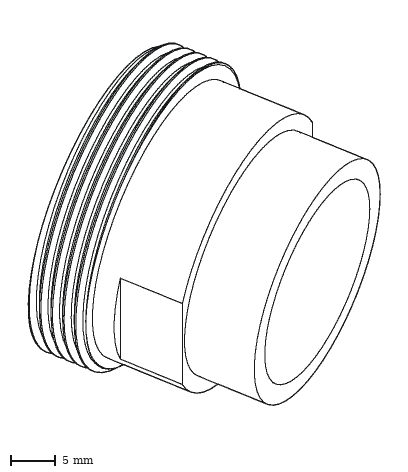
import cadquery as cq
import math

thread_length = 7.2
flat_start = 10.0
shoulder_x = 18.0
total_length = 27.0

thread_diameter = 38.0
collar_diameter = 34.0
spigot_diameter = 30.0
bore_diameter = 25.0
across_flats = 31.0

thread_pitch = 1.5
half_angle = math.radians(30.0)
crest_width = thread_pitch / 8
root_width = thread_pitch / 4
thread_depth = (thread_pitch - crest_width - root_width) / (2 * math.tan(half_angle))
groove_phase = -0.325
cutter_overlap = 0.05

blank_allowance = 4 * thread_pitch


def cylinder(diameter, start, end):
    """Solid cylinder on the X axis between two stations."""
    return cq.Workplane("YZ", origin=(start, 0, 0)).circle(diameter / 2).extrude(end - start)


def thread_groove():
    """Helical V groove, running past both ends of the thread."""
    crest_radius = thread_diameter / 2
    root_radius = crest_radius - thread_depth
    outer_radius = crest_radius + cutter_overlap
    half_root = root_width / 2
    half_mouth = half_root + (outer_radius - root_radius) * math.tan(half_angle)
    start = groove_phase - thread_pitch
    turns = math.ceil((thread_length - start + half_mouth) / thread_pitch)

    helix = cq.Wire.makeHelix(thread_pitch, turns * thread_pitch, root_radius)
    profile = cq.Workplane("XZ").polyline([
        (root_radius, -half_root),
        (outer_radius, -half_mouth),
        (outer_radius, half_mouth),
        (root_radius, half_root),
    ]).close()
    groove = profile.sweep(cq.Workplane(obj=helix), isFrenet=True)
    return groove.rotate((0, 0, 0), (0, 1, 0), 90).translate((start, 0, 0))


def threaded_ring():
    """Threaded end, cut from a longer blank so the groove runs out through both faces."""
    blank = cylinder(thread_diameter, -blank_allowance, thread_length + blank_allowance)
    trim = cylinder(thread_diameter + thread_pitch, 0, thread_length)
    return blank.cut(thread_groove()).intersect(trim)


def flatted_collar():
    """Collar with two wrench flats facing -Y and +Y, open towards the spigot."""
    flat_length = shoulder_x - flat_start
    flatted_section = cylinder(collar_diameter, flat_start, shoulder_x).intersect(
        cq.Workplane("XY")
        .box(flat_length, across_flats, collar_diameter)
        .translate((flat_start + flat_length / 2, 0, 0))
    )
    return cylinder(collar_diameter, thread_length, flat_start).union(flatted_section)


spigot = cylinder(spigot_diameter, shoulder_x, total_length)
body = threaded_ring().union(flatted_collar()).union(spigot)
bored_body = body.cut(cylinder(bore_diameter, 0, total_length))
result = bored_body.solids()